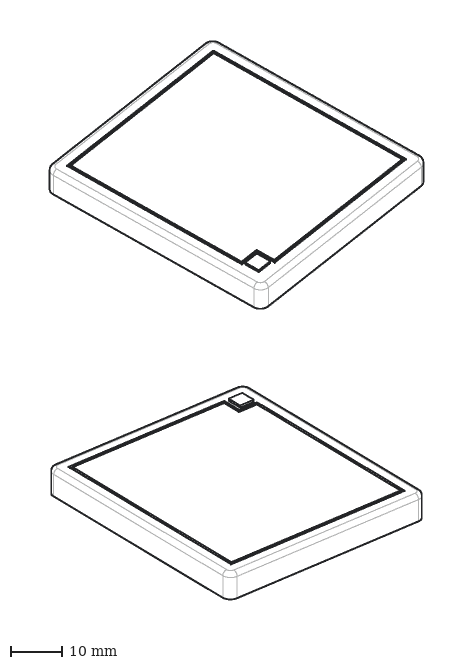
import cadquery as cq

length = 55.0
width = 50.0
total_height = 6.5

pad_height = 0.5
body_height = total_height - pad_height
corner_radius = 2.0
top_fillet = 1.0

groove_width = 0.55
groove_depth = 0.5
groove_margin = 2.95
notch_reach = 7.5

pad_side = 3.45
pad_margin_x = 3.5
pad_margin_y = 3.35


def notched_prism(margin, notch):
    """Groove-deep rectangle below the top face, notched at its +X, -Y corner."""
    x_edge = length / 2 - margin
    y_edge = width / 2 - margin
    x_notch = length / 2 - notch
    y_notch = width / 2 - notch
    return (
        cq.Workplane("XY", origin=(0, 0, body_height - groove_depth))
        .moveTo(-x_edge, -y_edge)
        .lineTo(x_notch, -y_edge)
        .lineTo(x_notch, -y_notch)
        .lineTo(x_edge, -y_notch)
        .lineTo(x_edge, y_edge)
        .lineTo(-x_edge, y_edge)
        .close()
        .extrude(groove_depth)
    )


body = (
    cq.Workplane("XY")
    .box(length, width, body_height, centered=(True, True, False))
    .edges("|Z")
    .fillet(corner_radius)
    .faces(">Z")
    .edges()
    .fillet(top_fillet)
)

groove = notched_prism(groove_margin, notch_reach).cut(
    notched_prism(groove_margin + groove_width, notch_reach + groove_width)
)

pad_x = length / 2 - pad_margin_x - pad_side / 2
pad_y = -width / 2 + pad_margin_y + pad_side / 2
pad = (
    cq.Workplane("XY", origin=(pad_x, pad_y, body_height))
    .rect(pad_side, pad_side)
    .extrude(pad_height)
)

result = body.cut(groove).union(pad)